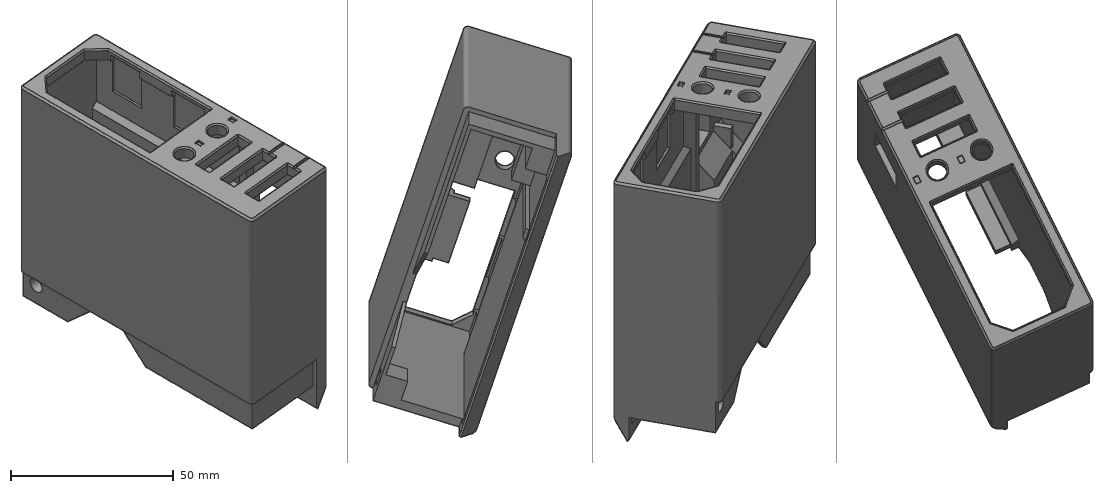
import cadquery as cq
import math

LENGTH = 96.8
WIDTH = 35.0
HEIGHT = 94.2
CORNER_RADIUS = 1.5
TOP_CHAMFER = 0.7
FRONT = -WIDTH / 2
BACK = WIDTH / 2
LEFT = -LENGTH / 2
RIGHT = LENGTH / 2
TOP = HEIGHT / 2
BOTTOM = -HEIGHT / 2

SIDE_WALL = 2.9
PLATE = 4.2
PLATE_UNDERSIDE = TOP - PLATE
CAVITY_LEFT = LEFT + SIDE_WALL
CAVITY_RIGHT = RIGHT - SIDE_WALL
CAVITY_FRONT = FRONT + SIDE_WALL
CAVITY_BACK = BACK - SIDE_WALL
BODY_BOTTOM = -38.3

FOOT_TOP = -27.0
FOOT_FRONT = FRONT + 1.7
FOOT_RIGHT = RIGHT - 1.5

LIP_INNER = BACK - 5.3
LIP_TIP = 0.6
LIP_ANGLE = 30.0
LIP_RUN = BACK - LIP_INNER - LIP_TIP
LIP_RISE = LIP_RUN / math.tan(math.radians(LIP_ANGLE))
LIP_POCKET_RIGHT = 38.4
LIP_POCKET_BOTTOM = -42.3
LIP_POCKET_RISE = 0.7

BACK_STEP_FACE = BACK - 4.7
BACK_STEP_TOP = 22.7

NOTCH_TOP_LEFT = -18.5
NOTCH_TOP_RIGHT = -8.7
NOTCH_RUN = FOOT_TOP - BODY_BOTTOM

EDGE_CHAMFER = 0.5
LEAD_IN_START = TOP - EDGE_CHAMFER
WINDOW_LEFT = -45.1
WINDOW_RIGHT = 2.7
WINDOW_HALF_WIDTH = 13.8
WINDOW_CORNER = 5.1
BUTTON_X = 11.2
BUTTON_Y = 7.55
BUTTON_RADIUS = 3.0
SLOT_WIDTH = 5.1
SLOT_BACK = 10.2
SLOT_FRONT = -8.6
SLOT_PITCH = 10.3
FIRST_SLOT_X = 20.1
SLOT_CENTRES = [FIRST_SLOT_X + SLOT_PITCH * i for i in range(3)]
SLIT_WIDTH = 0.8
SLIT_DEPTH = 0.3

PIPE_LENGTH_X = 2.2
PIPE_WIDTH_Y = 1.6
PIPE_OFFSET = 7.0
PIPE_SUNK = 0.8

POCKET_SPANS = ((-38.8, -26.7), (-13.5, 0.2))
POCKET_DEPTH = 0.8
POCKET_BOTTOM = 30.5
POCKET_TOP = 45.4

OPENING_LEFT = 19.8
OPENING_RIGHT = 34.8
OPENING_BOTTOM = 15.5
OPENING_TOP = 30.0
POST_LEFT = 13.8
POST_FACE = 11.5
RAMP_LEFT = 20.4
RAMP_FACE = 6.7
RAMP_FOOT = 0.0
BLOCK_FACE = 5.3
LEDGE_RIGHT = 40.6
LEDGE_FACE = 7.2

RAIL_FACE = -7.2
RAIL_SPANS = ((0.4, 21.6), (26.1, CAVITY_RIGHT))
RAIL_BOTTOM = -34.4
RAIL_TOP = -31.0
RIB_LEFT = -0.7
RIB_RIGHT = 21.6
RIB_FACE = -12.2
RIB_TOP = -26.1

BOSS_RIGHT = -39.1
BOSS_FACE = -7.55
SCREW_X = -43.0
SCREW_Z = -31.1
SCREW_MOUTH_RADIUS = 2.5
SCREW_END_RADIUS = 1.7
SCREW_DEPTH = 5.8


def block(x0, x1, y0, y1, z0, z1):
    """Box between two opposite corners."""
    return cq.Workplane("XY").box(x1 - x0, y1 - y0, z1 - z0, centered=False).translate((x0, y0, z0))


def prism_along_x(x0, x1, yz_points):
    """Prism with a YZ outline, between two X positions."""
    return cq.Workplane("YZ", origin=(x0, 0, 0)).polyline(yz_points).close().extrude(x1 - x0)


def rounded_envelope():
    body = block(LEFT, RIGHT, FRONT, BACK, BOTTOM, TOP).edges("|Z").fillet(CORNER_RADIUS)
    return body.faces(">Z").chamfer(TOP_CHAMFER)


def foot_and_lip_cuts():
    """Material removed outside the foot and around the lip."""
    front = block(LEFT, RIGHT, FRONT, FOOT_FRONT, BOTTOM, FOOT_TOP)
    right = block(FOOT_RIGHT, RIGHT, FRONT, LIP_INNER, BOTTOM, FOOT_TOP)
    under = block(LEFT, RIGHT, FRONT, LIP_INNER, BOTTOM, BODY_BOTTOM)
    outer_slope = prism_along_x(LEFT, RIGHT, [
        (BACK, BOTTOM),
        (BACK, BOTTOM + LIP_RISE),
        (BACK - LIP_RUN, BOTTOM),
    ])
    inner_slope = prism_along_x(LEFT, RIGHT, [
        (LIP_INNER, BOTTOM),
        (LIP_INNER, BOTTOM + LIP_TIP),
        (LIP_INNER + LIP_TIP, BOTTOM),
    ])
    return front.union(right).union(under).union(outer_slope).union(inner_slope)


def cavity():
    """Inner space, narrowed at the back below a 45 degree step and reaching down into the lip."""
    step = CAVITY_BACK - BACK_STEP_FACE
    main = block(CAVITY_LEFT, CAVITY_RIGHT, CAVITY_FRONT, BACK_STEP_FACE, BODY_BOTTOM, PLATE_UNDERSIDE)
    upper = prism_along_x(CAVITY_LEFT, CAVITY_RIGHT, [
        (BACK_STEP_FACE, BACK_STEP_TOP - step),
        (CAVITY_BACK, BACK_STEP_TOP),
        (CAVITY_BACK, PLATE_UNDERSIDE),
        (BACK_STEP_FACE, PLATE_UNDERSIDE),
    ])
    lip_pocket = prism_along_x(CAVITY_LEFT, LIP_POCKET_RIGHT, [
        (LIP_INNER, BODY_BOTTOM),
        (BACK_STEP_FACE, BODY_BOTTOM),
        (BACK_STEP_FACE, LIP_POCKET_BOTTOM + LIP_POCKET_RISE),
        (LIP_INNER, LIP_POCKET_BOTTOM),
    ])
    return main.union(upper).union(lip_pocket)


def inner_features():
    """Post, ramp, block and ledge at the back, rails at the front and the screw boss."""
    post_depth = CAVITY_BACK - POST_FACE
    post = (
        cq.Workplane("XY", origin=(0, 0, BODY_BOTTOM))
        .polyline([
            (POST_LEFT, CAVITY_BACK),
            (POST_LEFT + post_depth, POST_FACE),
            (OPENING_LEFT, POST_FACE),
            (OPENING_LEFT, CAVITY_BACK),
        ])
        .close()
        .extrude(PLATE_UNDERSIDE - BODY_BOTTOM)
    )
    ramp = prism_along_x(RAMP_LEFT, CAVITY_RIGHT, [
        (CAVITY_BACK, OPENING_BOTTOM),
        (RAMP_FACE, OPENING_BOTTOM - (CAVITY_BACK - RAMP_FACE)),
        (RAMP_FACE, RAMP_FOOT),
        (CAVITY_BACK, RAMP_FOOT),
    ])
    corner = prism_along_x(LIP_POCKET_RIGHT, CAVITY_RIGHT, [
        (CAVITY_BACK, OPENING_BOTTOM),
        (BLOCK_FACE, OPENING_BOTTOM - (CAVITY_BACK - BLOCK_FACE)),
        (BLOCK_FACE, BODY_BOTTOM),
        (CAVITY_BACK, BODY_BOTTOM),
    ])
    rib = prism_along_x(RIB_LEFT, RIB_RIGHT, [
        (CAVITY_FRONT, RIB_TOP),
        (RIB_FACE, RIB_TOP - (RIB_FACE - CAVITY_FRONT)),
        (RIB_FACE, RAIL_BOTTOM),
        (CAVITY_FRONT, RAIL_BOTTOM),
    ])
    ledge = block(LIP_POCKET_RIGHT, LEDGE_RIGHT, LEDGE_FACE, CAVITY_BACK, RAMP_FOOT, OPENING_BOTTOM)
    boss = block(CAVITY_LEFT, BOSS_RIGHT, CAVITY_FRONT, BOSS_FACE, BODY_BOTTOM, FOOT_TOP)
    features = post.union(ramp).union(corner).union(ledge).union(rib).union(boss)
    for start, end in RAIL_SPANS:
        features = features.union(block(start, end, CAVITY_FRONT, RAIL_FACE, RAIL_BOTTOM, RAIL_TOP))
    return features


def plate_opening(outline):
    """Cutter through the top plate, widening at 45 degrees towards the upper edge."""
    cutter = outline.extrude(EDGE_CHAMFER - PLATE)
    return cutter.faces(">Z").wires().toPending().extrude(EDGE_CHAMFER, taper=-45)


def window():
    """Large opening with both left corners cut off at 45 degrees."""
    half_width = WINDOW_HALF_WIDTH
    corner_y = half_width - WINDOW_CORNER
    corner_x = WINDOW_LEFT + WINDOW_CORNER
    outline = cq.Workplane("XY", origin=(0, 0, LEAD_IN_START)).polyline([
        (WINDOW_LEFT, -corner_y),
        (corner_x, -half_width),
        (WINDOW_RIGHT, -half_width),
        (WINDOW_RIGHT, half_width),
        (corner_x, half_width),
        (WINDOW_LEFT, corner_y),
    ]).close()
    return plate_opening(outline)


def button_hole(y):
    return plate_opening(cq.Workplane("XY", origin=(BUTTON_X, y, LEAD_IN_START)).circle(BUTTON_RADIUS))


def slot(x):
    centre = (x, (SLOT_BACK + SLOT_FRONT) / 2, LEAD_IN_START)
    return plate_opening(cq.Workplane("XY", origin=centre).rect(SLOT_WIDTH, SLOT_BACK - SLOT_FRONT))


def slit(x):
    """Shallow groove from a slot to the back edge of the plate."""
    return block(x - SLIT_WIDTH / 2, x + SLIT_WIDTH / 2, SLOT_BACK, BACK, TOP - SLIT_DEPTH, TOP)


def light_pipe(button_y, upper_end):
    """Light pipe, or its hole, from the underside of the plate up to a given height."""
    x0 = BUTTON_X - PIPE_LENGTH_X / 2
    y0 = button_y + PIPE_OFFSET - PIPE_WIDTH_Y / 2
    return block(x0, x0 + PIPE_LENGTH_X, y0, y0 + PIPE_WIDTH_Y, PLATE_UNDERSIDE, upper_end)


def notch():
    """Cutter through the front foot, with sides that open downward at 45 degrees."""
    return (
        cq.Workplane("XZ", origin=(0, CAVITY_FRONT, 0))
        .polyline([
            (NOTCH_TOP_LEFT, FOOT_TOP),
            (NOTCH_TOP_RIGHT, FOOT_TOP),
            (NOTCH_TOP_RIGHT + NOTCH_RUN, BODY_BOTTOM),
            (NOTCH_TOP_LEFT - NOTCH_RUN, BODY_BOTTOM),
        ])
        .close()
        .extrude(SIDE_WALL)
    )


def screw_hole():
    """Blind hole that narrows from the front."""
    return cq.Workplane(cq.Solid.makeCone(
        SCREW_MOUTH_RADIUS, SCREW_END_RADIUS, SCREW_DEPTH,
        pnt=cq.Vector(SCREW_X, FOOT_FRONT, SCREW_Z), dir=cq.Vector(0, 1, 0),
    ))


def make_housing():
    body = rounded_envelope().cut(foot_and_lip_cuts()).cut(cavity()).union(inner_features())
    body = body.cut(window()).cut(notch()).cut(screw_hole())
    body = body.cut(block(OPENING_LEFT, OPENING_RIGHT, POST_FACE, BACK, OPENING_BOTTOM, OPENING_TOP))
    for button_y in (BUTTON_Y, -BUTTON_Y):
        body = body.cut(button_hole(button_y)).cut(light_pipe(button_y, TOP))
    for x in SLOT_CENTRES:
        body = body.cut(slot(x))
    for x in SLOT_CENTRES[1:]:
        body = body.cut(slit(x))
    pocket_back = CAVITY_BACK + POCKET_DEPTH
    for start, end in POCKET_SPANS:
        body = body.cut(
            block(start, end, WINDOW_HALF_WIDTH, pocket_back, POCKET_BOTTOM, POCKET_TOP)
        )
    return body


housing = make_housing()
light_pipes = [light_pipe(y, TOP - PIPE_SUNK) for y in (BUTTON_Y, -BUTTON_Y)]

result = cq.Compound.makeCompound([housing.val(), *[pipe.val() for pipe in light_pipes]])